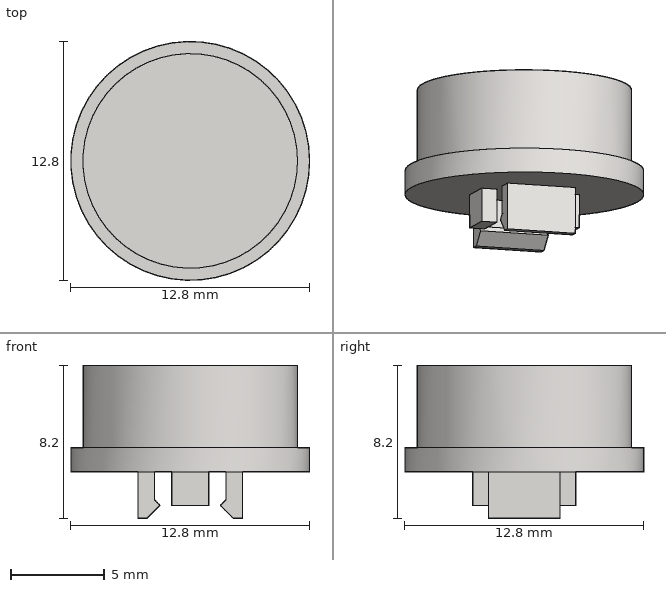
import cadquery as cq


flange_diameter = 12.8
flange_height = 1.3
cap_diameter = 11.5
cap_height = 4.4

socket_width = 3.81

clip_thickness = 0.9
clip_width = 3.84
clip_length = 2.5
hook_reach = 0.3
hook_start = 1.5
hook_tip = hook_start + hook_reach
lead_in = clip_length - hook_tip

tab_span = 5.53
tab_width = 2.0
tab_length = 1.8
tab_thickness = (tab_span - socket_width) / 2


def make_cap():
    flange = cq.Workplane("XY").circle(flange_diameter / 2).extrude(flange_height)
    return flange.faces(">Z").workplane().circle(cap_diameter / 2).extrude(cap_height)


def make_clip():
    """Hooked clip on the +X side, with its hook pointing towards the axis."""
    inner = socket_width / 2
    outer = inner + clip_thickness
    tip = inner - hook_reach
    profile = [
        (inner, 0),
        (outer, 0),
        (outer, -clip_length),
        (tip + lead_in, -clip_length),
        (tip, -hook_tip),
        (inner, -hook_start),
    ]
    return cq.Workplane("XZ").polyline(profile).close().extrude(clip_width / 2, both=True)


def make_tab():
    """Plain tab on the +Y side."""
    tab_center = (socket_width + tab_thickness) / 2
    return (
        cq.Workplane("XY")
        .center(0, tab_center)
        .rect(tab_width, tab_thickness)
        .extrude(-tab_length)
    )


result = make_cap()
for angle in (0, 180):
    for leg in (make_clip(), make_tab()):
        result = result.union(leg.rotate((0, 0, 0), (0, 0, 1), angle))